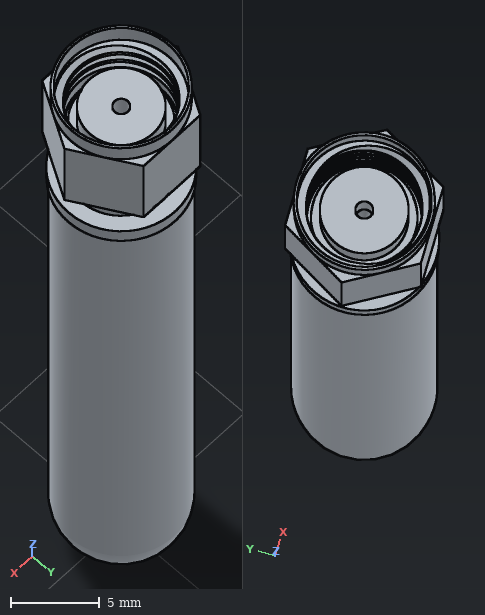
import cadquery as cq
import math

TOTAL_HEIGHT = 50.2

TUBE_DIAMETER = 8.3
DOME_RADIUS = 3.6
FLANGE_DIAMETER = 8.5
FLANGE_BOTTOM = 40.0
FLANGE_TOP = 41.1

NECK_DIAMETER = 6.5
NECK_TOP_DEPTH = 4.5
COLLAR_DIAMETER = 6.0
COLLAR_TOP_DEPTH = 4.0
INSULATOR_DIAMETER = 5.0
INSULATOR_TOP_DEPTH = 2.25
CONTACT_DIAMETER = 1.0
CONTACT_DEPTH = 2.0
CONTACT_POINT_ANGLE = 60.0

HEX_ACROSS_FLATS = 8.0
HEX_BOTTOM = 43.05
RIM_HEIGHT = 1.25
RIM_DIAMETER = HEX_ACROSS_FLATS
COUNTERBORE_DIAMETER = 7.65
COUNTERBORE_DEPTH = 1.35
THREAD_BORE = 6.6

THREAD_PITCH = 0.85
THREAD_TURNS = 3
THREAD_START_ANGLE = -50.0
GROOVE_DEPTH = 0.5
GROOVE_ANGLE = 60.0
GROOVE_OVERLAP = 0.05

neck_top = TOTAL_HEIGHT - NECK_TOP_DEPTH
collar_top = TOTAL_HEIGHT - COLLAR_TOP_DEPTH
insulator_top = TOTAL_HEIGHT - INSULATOR_TOP_DEPTH
hex_top = TOTAL_HEIGHT - RIM_HEIGHT
thread_top = TOTAL_HEIGHT - COUNTERBORE_DEPTH


def cylinder(diameter, bottom, top):
    """Round bar on the Z axis between two levels."""
    return cq.Workplane("XY", origin=(0, 0, bottom)).circle(diameter / 2).extrude(top - bottom)


def make_contact_hole():
    """Blind centre hole with a conical bottom."""
    radius = CONTACT_DIAMETER / 2
    cone_height = radius / math.tan(math.radians(CONTACT_POINT_ANGLE / 2))
    shoulder = insulator_top - CONTACT_DEPTH
    half_section = (
        cq.Workplane("XZ")
        .moveTo(0, insulator_top)
        .lineTo(radius, insulator_top)
        .lineTo(radius, shoulder)
        .lineTo(0, shoulder - cone_height)
        .close()
    )
    return half_section.revolve(360, (0, 0, 0), (0, 1, 0))


def make_antenna():
    """Domed tube, flange and stepped connector core in one solid."""
    tube = cylinder(TUBE_DIAMETER, 0, FLANGE_BOTTOM).faces("<Z").edges().fillet(DOME_RADIUS)
    flange = cylinder(FLANGE_DIAMETER, FLANGE_BOTTOM, FLANGE_TOP)
    neck = cylinder(NECK_DIAMETER, FLANGE_TOP, neck_top)
    collar = cylinder(COLLAR_DIAMETER, neck_top, collar_top)
    insulator = cylinder(INSULATOR_DIAMETER, collar_top, insulator_top)
    body = tube.union(flange).union(neck).union(collar).union(insulator)
    return body.cut(make_contact_hole())


def make_thread_groove():
    """V groove swept along a helix that runs one turn past the counterbore floor."""
    bore_radius = THREAD_BORE / 2
    length = THREAD_PITCH * (THREAD_TURNS + 1)
    helix = cq.Wire.makeHelix(THREAD_PITCH, length, bore_radius)
    half_width = (GROOVE_DEPTH + GROOVE_OVERLAP) * math.tan(math.radians(GROOVE_ANGLE / 2))
    profile = (
        cq.Workplane("XZ")
        .moveTo(bore_radius - GROOVE_OVERLAP, -half_width)
        .lineTo(bore_radius + GROOVE_DEPTH, 0)
        .lineTo(bore_radius - GROOVE_OVERLAP, half_width)
        .close()
    )
    groove = profile.sweep(cq.Workplane(obj=helix), isFrenet=True)
    groove = groove.rotate((0, 0, 0), (0, 0, 1), THREAD_START_ANGLE)
    return groove.translate((0, 0, thread_top + THREAD_PITCH - length))


def make_nut():
    """Hexagonal nut that seats on the neck and is threaded above it."""
    across_corners = HEX_ACROSS_FLATS / math.cos(math.pi / 6)
    hexagon = cq.Workplane("XY", origin=(0, 0, HEX_BOTTOM)).polygon(6, across_corners)
    nut = hexagon.extrude(hex_top - HEX_BOTTOM)
    nut = nut.union(cylinder(RIM_DIAMETER, hex_top, TOTAL_HEIGHT))
    nut = nut.cut(cylinder(NECK_DIAMETER, HEX_BOTTOM, neck_top))
    nut = nut.cut(cylinder(THREAD_BORE, neck_top, TOTAL_HEIGHT))
    nut = nut.cut(make_thread_groove())
    return nut.cut(cylinder(COUNTERBORE_DIAMETER, thread_top, TOTAL_HEIGHT))


antenna = make_antenna()
coupling_nut = make_nut()

result = cq.Compound.makeCompound([antenna.val(), coupling_nut.val()])